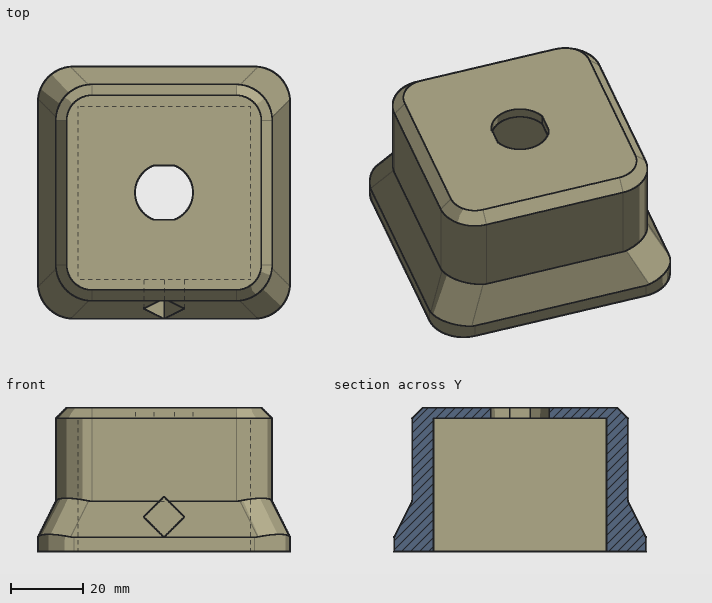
import cadquery as cq

flange_side = 70.0
body_side = flange_side * 6 / 7
height = 40.0
flange_height = 4.0
skirt_height = 10.0
corner_radius = 10.0
top_chamfer = 3.0

side_wall = 6.0
top_wall = 3.0
cavity_side = body_side - 2 * side_wall

hole_diameter = 16.0
hole_across_flats = 15.0

window_side = 8.0
window_half_diagonal = window_side / 2**0.5
window_center_z = flange_height + window_half_diagonal


def rounded_block(side, block_height):
    """Square block on the XY plane with rounded vertical edges."""
    block = cq.Workplane("XY").rect(side, side).extrude(block_height)
    return block.edges("|Z").fillet(corner_radius)


def skirt():
    """Pyramid frustum with rounded slanted edges, trimmed to the flange outline."""
    slope = (flange_side - body_side) / skirt_height
    overlap = flange_height
    frustum_height = flange_height + skirt_height + overlap
    bottom_side = flange_side + slope * flange_height
    top_side = body_side - slope * overlap
    frustum = (
        cq.Workplane("XY")
        .rect(bottom_side, bottom_side)
        .workplane(offset=frustum_height)
        .rect(top_side, top_side)
        .loft(ruled=True)
        .edges("not(#Z)")
        .fillet(corner_radius)
    )
    return frustum.intersect(rounded_block(flange_side, frustum_height))


def flatted_hole():
    """Cylinder with flats facing +Y and -Y, through the top wall."""
    cylinder = cq.Workplane("XY").circle(hole_diameter / 2).extrude(height)
    flats = cq.Workplane("XY").rect(hole_diameter, hole_across_flats).extrude(height)
    return cylinder.intersect(flats)


def diamond_window():
    """Square prism along Y, from the front of the flange into the cavity."""
    return (
        cq.Workplane("XZ")
        .center(0, window_center_z)
        .transformed(rotate=(0, 0, 45))
        .rect(window_side, window_side)
        .extrude(flange_side / 2)
    )


body = rounded_block(body_side, height).faces(">Z").chamfer(top_chamfer)
cavity = cq.Workplane("XY").rect(cavity_side, cavity_side).extrude(height - top_wall)

result = body.union(skirt()).cut(cavity).cut(flatted_hole()).cut(diamond_window())